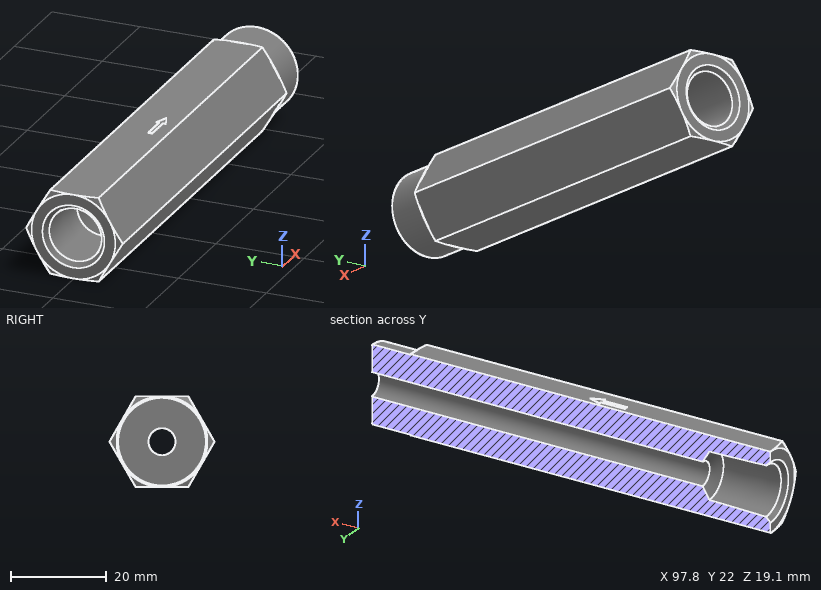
import cadquery as cq
import math

TOTAL_LENGTH = 97.79
ACROSS_FLATS = 19.05
SPIGOT_DIAMETER = 18.8
SPIGOT_LENGTH = 9.525
SPIGOT_CHAMFER = 0.25

BODY_LENGTH = TOTAL_LENGTH - SPIGOT_LENGTH
HEX_SIDES = 6
ACROSS_CORNERS = ACROSS_FLATS / math.cos(math.pi / HEX_SIDES)
BEVEL_FACE_DIAMETER = ACROSS_FLATS
BEVEL_ANGLE = 20

PORT_MOUTH_DIAMETER = 14.1
PORT_DIAMETER = 11.9
PORT_END_DIAMETER = 11.2
PORT_DEPTH = 15.0
BORE_DIAMETER = 5.6
PORT_CONE_ANGLE = 118

ARROW_TAIL_X = 36.6
ARROW_LENGTH = 8.7
ARROW_HEAD_LENGTH = 2.9
ARROW_HEAD_WIDTH = 2.2
ARROW_SHAFT_WIDTH = 0.9
ARROW_CENTER_Y = -1.8
ARROW_DEPTH = 0.1


def revolve_about_axis(profile):
    """Revolve a closed (x, radius) profile around the X axis."""
    return cq.Workplane("XY").polyline(profile).close().revolve(360, (0, 0, 0), (1, 0, 0))


def hex_body():
    prism = cq.Workplane("YZ").polygon(HEX_SIDES, ACROSS_CORNERS).extrude(BODY_LENGTH)
    face_radius = BEVEL_FACE_DIAMETER / 2
    corner_radius = ACROSS_CORNERS / 2
    bevel_length = (corner_radius - face_radius) * math.tan(math.radians(BEVEL_ANGLE))
    envelope = revolve_about_axis([
        (0, 0),
        (0, face_radius),
        (bevel_length, corner_radius),
        (BODY_LENGTH - bevel_length, corner_radius),
        (BODY_LENGTH, face_radius),
        (BODY_LENGTH, 0),
    ])
    return prism.intersect(envelope)


def spigot():
    shoulder_plane = cq.Workplane("YZ", origin=(BODY_LENGTH, 0, 0))
    cylinder = shoulder_plane.circle(SPIGOT_DIAMETER / 2).extrude(SPIGOT_LENGTH)
    return cylinder.faces(">X").edges().chamfer(SPIGOT_CHAMFER)


def flow_passage():
    """Countersunk, tapered port that narrows through a cone to the bore."""
    mouth_depth = (PORT_MOUTH_DIAMETER - PORT_DIAMETER) / 2
    cone_height = (PORT_END_DIAMETER - BORE_DIAMETER) / 2
    cone_length = cone_height / math.tan(math.radians(PORT_CONE_ANGLE / 2))
    return revolve_about_axis([
        (0, 0),
        (0, PORT_MOUTH_DIAMETER / 2),
        (mouth_depth, PORT_DIAMETER / 2),
        (PORT_DEPTH, PORT_END_DIAMETER / 2),
        (PORT_DEPTH + cone_length, BORE_DIAMETER / 2),
        (TOTAL_LENGTH, BORE_DIAMETER / 2),
        (TOTAL_LENGTH, 0),
    ])


def flow_arrow():
    shaft_half = ARROW_SHAFT_WIDTH / 2
    head_half = ARROW_HEAD_WIDTH / 2
    shaft_length = ARROW_LENGTH - ARROW_HEAD_LENGTH
    floor_z = ACROSS_FLATS / 2 - ARROW_DEPTH
    return (
        cq.Workplane("XY", origin=(ARROW_TAIL_X, ARROW_CENTER_Y, floor_z))
        .polyline([
            (0, -shaft_half),
            (shaft_length, -shaft_half),
            (shaft_length, -head_half),
            (ARROW_LENGTH, 0),
            (shaft_length, head_half),
            (shaft_length, shaft_half),
            (0, shaft_half),
        ])
        .close()
        .extrude(ARROW_DEPTH)
    )


result = hex_body().union(spigot()).cut(flow_passage()).cut(flow_arrow())